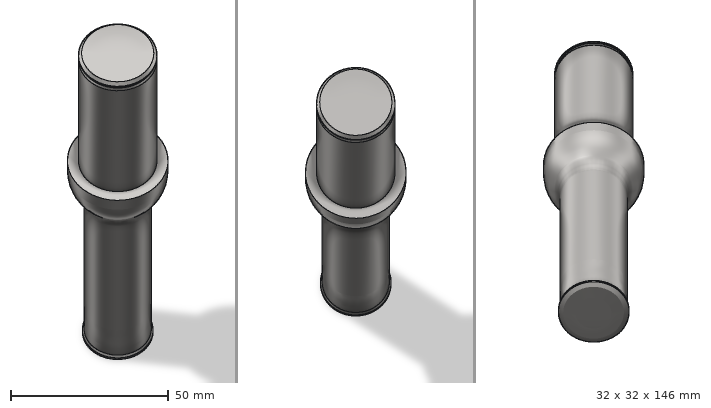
import cadquery as cq
import math

total_height = 146.0
shank_radius = 25.0 / 2
stem_radius = 21.5 / 2
collar_radius = 32.0 / 2
collar_top = 90.1
collar_rim_height = 5.0
neck_fillet_radius = 9.0

top_chamfer = 1.0
lip_land = 0.5
groove_depth = 0.5
groove_floor_height = 1.0
groove_taper_height = 0.9

taper_top = 15.3
taper_bottom = 6.1
lead_in = 0.03
end_radius = stem_radius - lead_in

cap_radius = 11.2
cap_top = 2.5
cap_rim_top = 1.8
cap_rim_bottom = 0.9
cone_outer_radius = 9.6
cone_height = 0.3
flat_radius = 11.4 / 2

sphere_center_z = collar_top - collar_rim_height
fillet_center_r = stem_radius + neck_fillet_radius
center_distance = collar_radius + neck_fillet_radius
neck_bottom = sphere_center_z - math.sqrt(center_distance**2 - fillet_center_r**2)
neck_angle = math.acos(fillet_center_r / center_distance)
blend_angle = neck_angle / 2

lip_top = total_height - top_chamfer
lip_bottom = lip_top - lip_land
groove_floor_bottom = lip_bottom - groove_floor_height
groove_bottom = groove_floor_bottom - groove_taper_height
groove_radius = shank_radius - groove_depth


def sphere_point(angle):
    """Point on the collar sphere, with the angle measured down from its equator."""
    return (
        collar_radius * math.cos(angle),
        sphere_center_z - collar_radius * math.sin(angle),
    )


def neck_point(angle):
    """Point on the neck fillet, with the angle measured up from the stem tangent."""
    return (
        fillet_center_r - neck_fillet_radius * math.cos(angle),
        neck_bottom + neck_fillet_radius * math.sin(angle),
    )


def revolve_about_z(profile):
    """Revolve a closed radius-height profile about the Z axis."""
    return profile.revolve(360, (0, 0, 0), (0, 1, 0))


def make_pin():
    profile = (
        cq.Workplane("XZ")
        .moveTo(0, cap_top)
        .lineTo(end_radius, cap_top)
        .lineTo(end_radius, taper_bottom)
        .lineTo(stem_radius, taper_top)
        .lineTo(stem_radius, neck_bottom)
        .threePointArc(neck_point(blend_angle), neck_point(neck_angle))
        .threePointArc(sphere_point(blend_angle), sphere_point(0))
        .lineTo(collar_radius, collar_top)
        .lineTo(shank_radius, collar_top)
        .lineTo(shank_radius, groove_bottom)
        .lineTo(groove_radius, groove_floor_bottom)
        .lineTo(groove_radius, lip_bottom)
        .lineTo(shank_radius, lip_bottom)
        .lineTo(shank_radius, lip_top)
        .lineTo(shank_radius - top_chamfer, total_height)
        .lineTo(0, total_height)
        .close()
    )
    return revolve_about_z(profile)


def make_cap():
    profile = (
        cq.Workplane("XZ")
        .moveTo(0, 0)
        .lineTo(flat_radius, 0)
        .lineTo(cone_outer_radius, cone_height)
        .lineTo(cap_radius, cap_rim_bottom)
        .lineTo(cap_radius, cap_rim_top)
        .lineTo(end_radius, cap_top)
        .lineTo(0, cap_top)
        .close()
    )
    return revolve_about_z(profile)


pin = make_pin()
cap = make_cap()

result = cq.Compound.makeCompound([pin.val(), cap.val()])